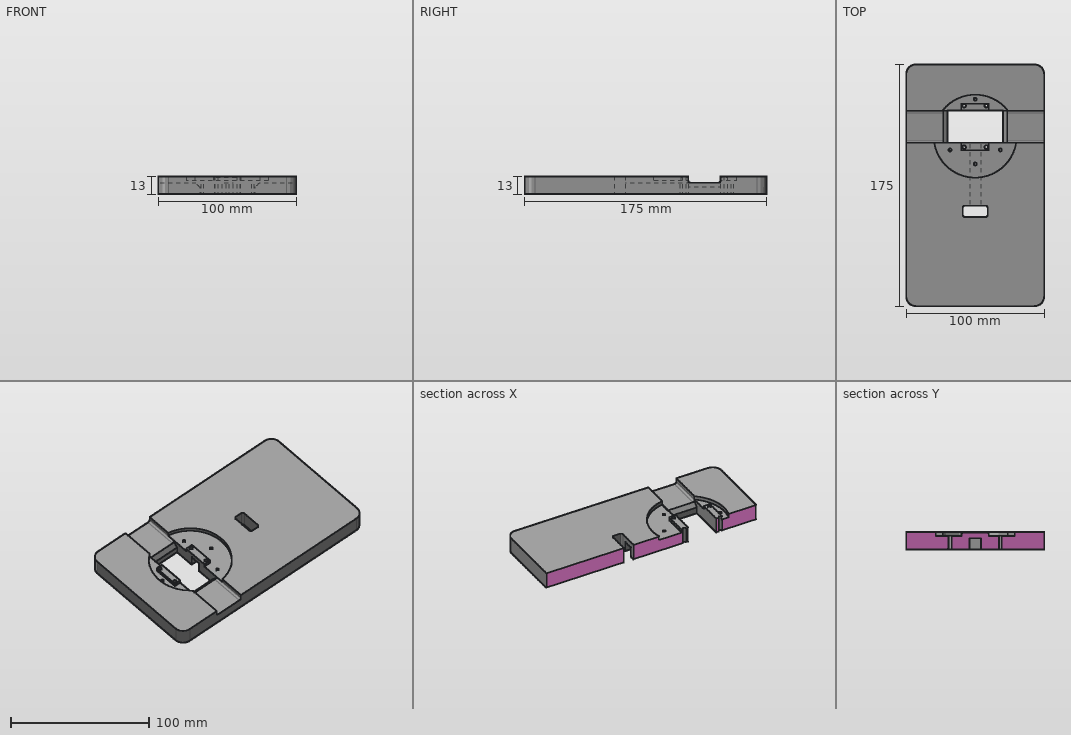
import cadquery as cq

width = 100.0
length = 175.0
thickness = 13.0
corner_radius = 7.2

channel_y_min = 30.8
channel_y_max = 54.0
channel_depth = 4.5
channel_fillet = 1.5

recess_diameter = 60.0
recess_y = 35.5
recess_depth = 3.0
pad_width = 20.0
pad_y_min = 25.2
pad_y_max = 59.2
pad_height = 2.5
pad_hole_diameter = 2.5
pad_hole_spacing = 16.1
pad_hole_rows = (27.6, 57.5)

window_width = 39.9
window_bevel = 3.2

recess_hole_diameter = 2.0
recess_hole_points = [(0, 62.3), (0, 15.4), (-18.2, 25.5), (18.2, 25.5)]

slot_width = 17.8
slot_length = 8.0
slot_y = -18.9
slot_corner_radius = 1.4

groove_width = 8.0
groove_height = 8.2

channel_width = channel_y_max - channel_y_min
channel_y = (channel_y_min + channel_y_max) / 2
channel_floor = thickness - channel_depth
recess_floor = thickness - recess_depth


def block(size_x, size_y, height, center_y, bottom):
    """Box centred on X, standing on the given level."""
    return (
        cq.Workplane("XY", origin=(0, center_y, bottom))
        .box(size_x, size_y, height, centered=(True, True, False))
    )


def through_holes(points, diameter):
    return cq.Workplane("XY").pushPoints(points).circle(diameter / 2).extrude(thickness)


def window():
    """Opening whose end walls are bevelled where they meet the channel floor."""
    half_bottom = window_width / 2
    half_top = half_bottom + window_bevel
    profile = [
        (-half_bottom, 0),
        (half_bottom, 0),
        (half_bottom, channel_floor - window_bevel),
        (half_top, channel_floor),
        (half_top, thickness),
        (-half_top, thickness),
        (-half_top, channel_floor),
        (-half_bottom, channel_floor - window_bevel),
    ]
    return (
        cq.Workplane("XZ", origin=(0, channel_y_max, 0))
        .polyline(profile)
        .close()
        .extrude(channel_width)
    )


plate = block(width, length, thickness, 0, 0).edges("|Z").fillet(corner_radius)

recess = (
    cq.Workplane("XY", origin=(0, recess_y, recess_floor))
    .circle(recess_diameter / 2)
    .extrude(recess_depth)
)
pads = block(pad_width, pad_y_max - pad_y_min, pad_height, (pad_y_min + pad_y_max) / 2, recess_floor)
channel = (
    block(width, channel_width, channel_depth, channel_y, channel_floor)
    .edges("|X and <Z")
    .fillet(channel_fillet)
)
slot = (
    block(slot_width, slot_length, thickness, slot_y, 0)
    .edges("|Z")
    .fillet(slot_corner_radius)
)
groove_length = channel_y_min - slot_y
groove = block(groove_width, groove_length, groove_height, slot_y + groove_length / 2, 0)
pad_hole_points = [(side * pad_hole_spacing / 2, y) for y in pad_hole_rows for side in (-1, 1)]

result = (
    plate.cut(recess)
    .union(pads)
    .cut(channel)
    .cut(window())
    .cut(slot)
    .cut(groove)
    .cut(through_holes(pad_hole_points, pad_hole_diameter))
    .cut(through_holes(recess_hole_points, recess_hole_diameter))
)